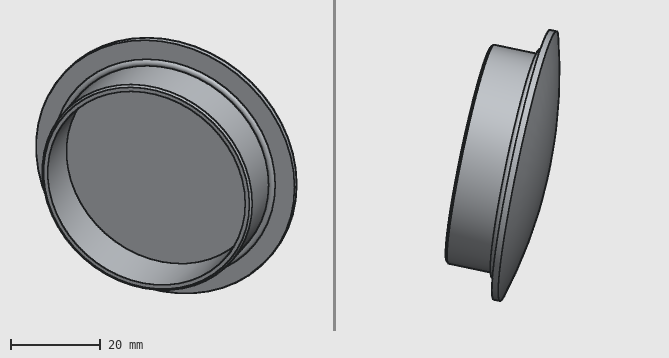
import cadquery as cq

flange_radius = 30.75
flange_thickness = 1.5
dome_height = 4.5
skirt_radius = 24.95
skirt_length = 12.0
bore_radius = 23.5
rim_chamfer = 0.5
bead_outer_radius = 26.4
bead_width = 1.5

bead_section_radius = bead_width / 2
bead_center_radius = bead_outer_radius - bead_section_radius
dome_sphere_radius = (flange_radius**2 + dome_height**2) / (2 * dome_height)
dome_center_y = flange_thickness + dome_height - dome_sphere_radius
dome_mid_x = flange_radius / 2
dome_mid_y = dome_center_y + (dome_sphere_radius**2 - dome_mid_x**2) ** 0.5


def revolve_about_y(section):
    return section.revolve(360, (0, 0, 0), (0, 1, 0))


def domed_flange():
    section = (
        cq.Workplane("XY")
        .lineTo(flange_radius, 0)
        .lineTo(flange_radius, flange_thickness)
        .threePointArc((dome_mid_x, dome_mid_y), (0, flange_thickness + dome_height))
        .close()
    )
    return revolve_about_y(section)


def skirt():
    root_y = flange_thickness / 2
    section = (
        cq.Workplane("XY")
        .moveTo(bore_radius, root_y)
        .lineTo(skirt_radius, root_y)
        .lineTo(skirt_radius, rim_chamfer - skirt_length)
        .lineTo(skirt_radius - rim_chamfer, -skirt_length)
        .lineTo(bore_radius, -skirt_length)
        .close()
    )
    return revolve_about_y(section)


def retaining_bead():
    section = (
        cq.Workplane("XY")
        .center(bead_center_radius, -bead_section_radius)
        .circle(bead_section_radius)
    )
    return section.revolve(360, (-bead_center_radius, 0, 0), (-bead_center_radius, 1, 0))


result = domed_flange().union(skirt()).union(retaining_bead())